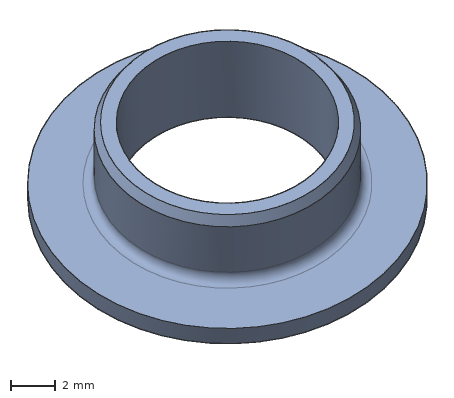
import cadquery as cq

flange_diameter = 18.0
total_height = 5.0
flange_thickness = 1.0
sleeve_diameter = 12.0
bore_diameter = 10.0
root_fillet = 0.5
chamfer_height = 0.5
chamfer_inset = 0.29

flange_radius = flange_diameter / 2
sleeve_radius = sleeve_diameter / 2
bore_radius = bore_diameter / 2

section = (
    cq.Workplane("XZ")
    .moveTo(bore_radius, 0)
    .lineTo(flange_radius, 0)
    .lineTo(flange_radius, flange_thickness)
    .lineTo(sleeve_radius + root_fillet, flange_thickness)
    .radiusArc((sleeve_radius, flange_thickness + root_fillet), root_fillet)
    .lineTo(sleeve_radius, total_height - chamfer_height)
    .lineTo(sleeve_radius - chamfer_inset, total_height)
    .lineTo(bore_radius, total_height)
    .close()
)

result = section.revolve(360, (0, 0, 0), (0, 1, 0))